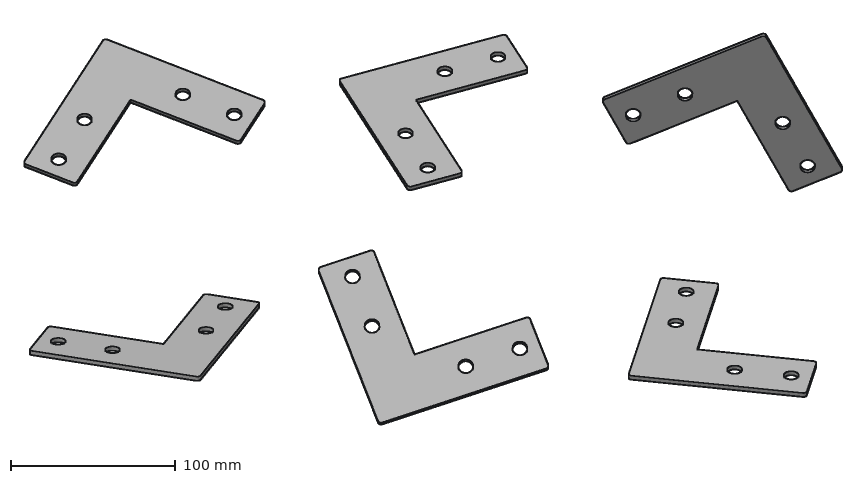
import cadquery as cq

leg_length = 110.0
leg_width = 36.0
thickness = 3.0
corner_radius = 2.1
hole_diameter = 9.0
end_hole_margin = 12.5
hole_spacing = 35.0

centreline = leg_width / 2
outer_hole = leg_length - end_hole_margin
inner_hole = outer_hole - hole_spacing


def rounded_leg(size_x, size_y):
    """Rounded plate reaching from the outer corner of the L toward +X and -Y."""
    return (
        cq.Workplane("XY")
        .box(size_x, size_y, thickness, centered=False)
        .translate((0, -size_y, 0))
        .edges("|Z")
        .fillet(corner_radius)
    )


plate = rounded_leg(leg_length, leg_width).union(rounded_leg(leg_width, leg_length))

hole_centres = []
for distance in (inner_hole, outer_hole):
    hole_centres.append((distance, -centreline))
    hole_centres.append((centreline, -distance))

holes = (
    cq.Workplane("XY")
    .pushPoints(hole_centres)
    .circle(hole_diameter / 2)
    .extrude(thickness)
)

result = plate.cut(holes).translate((-leg_length / 2, leg_length / 2, -thickness / 2))